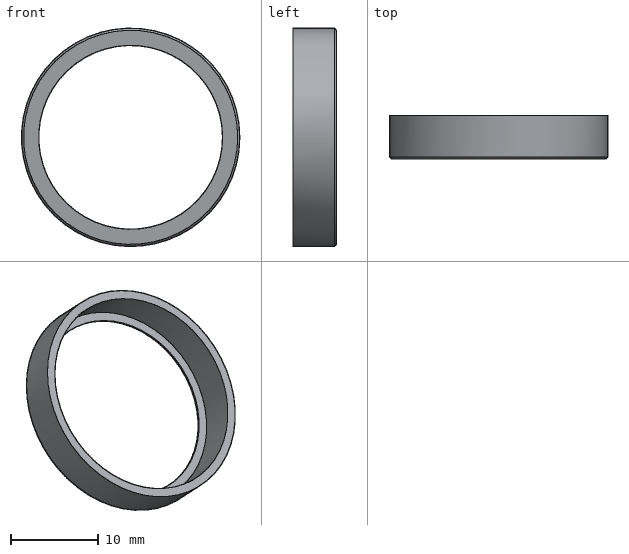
import cadquery as cq

outer_diameter = 24.97
bore_diameter = 22.97
lip_diameter = 20.97
width = 5.0
lip_thickness = 0.25
edge_chamfer = 0.25

ring = (
    cq.Workplane("XZ", origin=(0, width / 2, 0))
    .circle(outer_diameter / 2)
    .circle(lip_diameter / 2)
    .extrude(width)
)

outer_edge = ring.faces("<Y").edges(cq.selectors.RadiusNthSelector(-1))
chamfered_ring = outer_edge.chamfer(edge_chamfer)

bore = (
    cq.Workplane("XZ", origin=(0, width / 2, 0))
    .circle(bore_diameter / 2)
    .extrude(width - lip_thickness)
)

result = chamfered_ring.cut(bore)